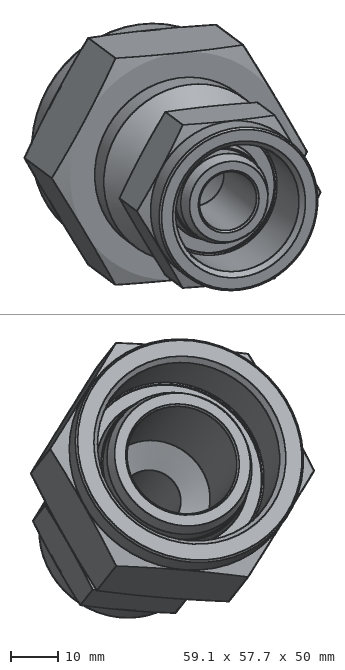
import cadquery as cq
import math

LENGTH = 59.1
LARGE_FLATS = 50.0
SMALL_FLATS = 36.0
LARGE_HEX_LENGTH = 18.45
SMALL_HEX_LENGTH = 11.9
COLLAR_LENGTH = 5.55
COLLAR_CLEARANCE = 0.05
COLLAR_CHAMFER = 0.4
HEX_CHAMFER_ANGLE = 14.0

LARGE_BODY_RADIUS = 19.5
SMALL_BODY_RADIUS = 13.55
BODY_CONE_START = 29.5

MOUTH_CLEARANCE = 0.4
MOUTH_CHAMFER = 1.05
MOUTH_DEPTH = 14.3

TIP_DEPTH = 6.25
TAPER_END_DEPTH = 8.85
SHOULDER_DEPTH = 12.4
BODY_FACE_DEPTH = 14.9
TIP_DROP = 4.65
TAPER_END_DROP = 3.65
SHOULDER_DROP = 3.3
ROOT_DROP = 2.8

LARGE_BORE_RADIUS = 12.0
SMALL_BORE_RADIUS = 6.45
BORE_CHAMFER = 0.4
BORE_CONE_START = 29.55
BORE_CONE_ANGLE = 60.0


def revolve_about_x(points):
    """Turn a closed outline of (x, radius) points about the X axis."""
    return cq.Workplane("XY").polyline(points).close().revolve(360, (0, 0, 0), (1, 0, 0))


def make_hexagon(flats, start, length):
    """Hexagon with flats facing +Z and -Z, its corners chamfered at both ends."""
    corner_radius = flats / math.sqrt(3)
    end_radius = flats / 2
    chamfer_length = (corner_radius - end_radius) * math.tan(math.radians(HEX_CHAMFER_ANGLE))
    end = start + length
    prism = cq.Workplane("YZ").polygon(6, 2 * corner_radius).extrude(length).translate((start, 0, 0))
    envelope = revolve_about_x([
        (start, 0),
        (start, end_radius),
        (start + chamfer_length, corner_radius),
        (end - chamfer_length, corner_radius),
        (end, end_radius),
        (end, 0),
    ])
    return prism.intersect(envelope)


def make_nut(flats, hex_length, body_radius):
    """Nut with its mouth at X = 0 and the body entering from its +X end."""
    collar_radius = flats / 2 - COLLAR_CLEARANCE
    mouth_radius = body_radius + MOUTH_CLEARANCE
    nut_length = COLLAR_LENGTH + hex_length
    collar = revolve_about_x([
        (0, 0),
        (0, collar_radius - COLLAR_CHAMFER),
        (COLLAR_CHAMFER, collar_radius),
        (COLLAR_LENGTH, collar_radius),
        (COLLAR_LENGTH, 0),
    ])
    hollow = revolve_about_x([
        (0, 0),
        (0, mouth_radius + MOUTH_CHAMFER),
        (MOUTH_CHAMFER, mouth_radius),
        (MOUTH_DEPTH, mouth_radius),
        (MOUTH_DEPTH, body_radius),
        (nut_length, body_radius),
        (nut_length, 0),
    ])
    return collar.union(make_hexagon(flats, COLLAR_LENGTH, hex_length)).cut(hollow)


def face_toward_plus_x(part):
    """Turn a part made with its mouth at X = 0 so the mouth is at the +X end."""
    return part.rotate((0, 0, 0), (0, 0, 1), 180).translate((LENGTH, 0, 0))


def spigot_outline(body_radius):
    """(depth, radius) points from the spigot tip out to the body face."""
    return [
        (TIP_DEPTH, body_radius - TIP_DROP),
        (TAPER_END_DEPTH, body_radius - TAPER_END_DROP),
        (SHOULDER_DEPTH, body_radius - TAPER_END_DROP),
        (SHOULDER_DEPTH, body_radius - SHOULDER_DROP),
        (BODY_FACE_DEPTH, body_radius - ROOT_DROP),
        (BODY_FACE_DEPTH, body_radius),
    ]


def make_body():
    """Stepped, bored body that carries a spigot at each end."""
    body_cone_end = BODY_CONE_START + LARGE_BODY_RADIUS - SMALL_BODY_RADIUS
    bore_step = LARGE_BORE_RADIUS - SMALL_BORE_RADIUS
    bore_cone_end = BORE_CONE_START + bore_step / math.tan(math.radians(BORE_CONE_ANGLE))
    large_spigot = spigot_outline(LARGE_BODY_RADIUS)
    small_spigot = [(LENGTH - depth, radius) for depth, radius in reversed(spigot_outline(SMALL_BODY_RADIUS))]
    cone = [(BODY_CONE_START, LARGE_BODY_RADIUS), (body_cone_end, SMALL_BODY_RADIUS)]
    small_tip = LENGTH - TIP_DEPTH
    bore = [
        (small_tip, SMALL_BORE_RADIUS + BORE_CHAMFER),
        (small_tip - BORE_CHAMFER, SMALL_BORE_RADIUS),
        (bore_cone_end, SMALL_BORE_RADIUS),
        (BORE_CONE_START, LARGE_BORE_RADIUS),
        (TIP_DEPTH + BORE_CHAMFER, LARGE_BORE_RADIUS),
        (TIP_DEPTH, LARGE_BORE_RADIUS + BORE_CHAMFER),
    ]
    return revolve_about_x(large_spigot + cone + small_spigot + bore)


body = make_body()
large_nut = make_nut(LARGE_FLATS, LARGE_HEX_LENGTH, LARGE_BODY_RADIUS)
small_nut = face_toward_plus_x(make_nut(SMALL_FLATS, SMALL_HEX_LENGTH, SMALL_BODY_RADIUS))

result = cq.Compound.makeCompound([body.val(), large_nut.val(), small_nut.val()])